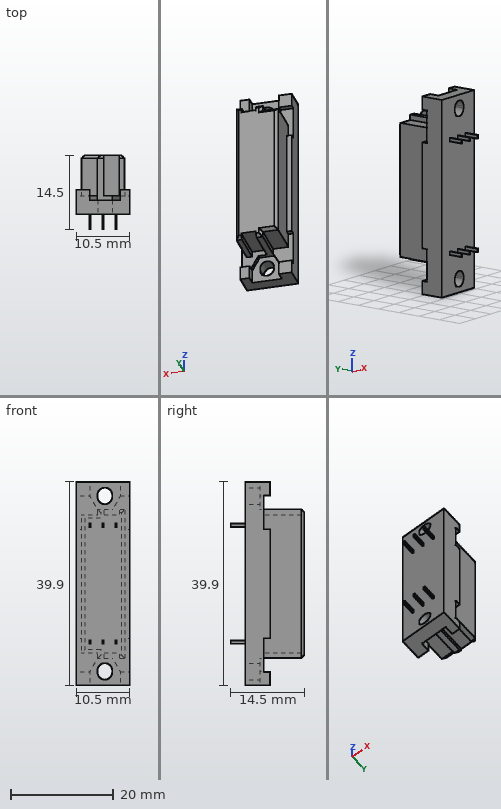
import cadquery as cq
import math

PLATE_WIDTH = 10.5
PLATE_HEIGHT = 39.9
PLATE_THICKNESS = 4.85

NOTCH_FLOOR_Y = 3.67
NOTCH_INNER_Z = 10.7
NOTCH_OUTER_Z = 17.28

HOLE_X = 0.35
HOLE_Z = 17.2
HOLE_HEIGHT = 3.2
HOLE_WIDTH = 2.85
NUT_ACROSS_CORNERS = 6.0
NUT_APOTHEM = NUT_ACROSS_CORNERS / 2 * math.cos(math.pi / 6)
NUT_FLOOR_Y = 2.85

PLUG_WIDTH = 8.5
PLUG_FRONT_Y = 11.6
PLUG_END_Z = HOLE_Z - NUT_APOTHEM
PLUG_SHOULDER_DROP = 1.08
PLUG_SHOULDER_X = -1.1
PLUG_CHAMFER = 0.65

KEYWAY_START_X = 0.15
KEYWAY_END_X = 3.15
KEYWAY_DEPTH = 1.08

OVERALL_DEPTH = 14.5
PIN_LENGTH = OVERALL_DEPTH - PLUG_FRONT_Y
PIN_WIDTH = 0.35
PIN_HEIGHT = 0.7
PIN_PITCH = 2.55
PIN_ROW_Z = 11.45
PIN_COLUMNS = (-1, 0, 1)

ENDS = (-1, 1)


def block(x_range, y_range, z_range):
    """Box spanning the given coordinate ranges; each range may run in either direction."""
    ranges = (x_range, y_range, z_range)
    size = [abs(end - start) for start, end in ranges]
    low = [min(limits) for limits in ranges]
    return cq.Workplane("XY").box(*size, centered=False).translate(tuple(low))


def make_plate():
    """Flat mounting plate with a notch near each end."""
    half_width = PLATE_WIDTH / 2
    half_height = PLATE_HEIGHT / 2
    across = (-half_width, half_width)
    plate = block(across, (0, PLATE_THICKNESS), (-half_height, half_height))
    for end in ENDS:
        notch_z = (end * NOTCH_INNER_Z, end * NOTCH_OUTER_Z)
        plate = plate.cut(block(across, (NOTCH_FLOOR_Y, PLATE_THICKNESS), notch_z))
    return plate


def make_screw_seat(end):
    """Through hole and nut pocket removed from one end of the plate."""
    centre = (HOLE_X, 0, end * HOLE_Z)
    plane = cq.Workplane("XZ", origin=centre)
    hole = plane.slot2D(HOLE_HEIGHT, HOLE_WIDTH, 90).extrude(-PLATE_THICKNESS)
    floor_plane = plane.workplane(offset=-NUT_FLOOR_Y)
    nut = floor_plane.polygon(6, NUT_ACROSS_CORNERS).extrude(NUT_FLOOR_Y - PLATE_THICKNESS)
    half_nut = NUT_ACROSS_CORNERS / 2
    sides = (HOLE_X - half_nut, HOLE_X + half_nut)
    mouth = block(sides, (NUT_FLOOR_Y, PLATE_THICKNESS), (end * HOLE_Z, end * PLATE_HEIGHT / 2))
    return hole.union(nut).union(mouth)


def make_plug():
    """Plug body, lower on its -X side at both ends, with a chamfered front rim and two keyways."""
    half_width = PLUG_WIDTH / 2
    shoulder_z = PLUG_END_Z - PLUG_SHOULDER_DROP
    outline = [
        (half_width, PLUG_END_Z),
        (PLUG_SHOULDER_X, PLUG_END_Z),
        (PLUG_SHOULDER_X, shoulder_z),
        (-half_width, shoulder_z),
        (-half_width, -shoulder_z),
        (PLUG_SHOULDER_X, -shoulder_z),
        (PLUG_SHOULDER_X, -PLUG_END_Z),
        (half_width, -PLUG_END_Z),
    ]
    base = cq.Workplane("XZ", origin=(0, NOTCH_FLOOR_Y, 0))
    plug = base.polyline(outline).close().extrude(NOTCH_FLOOR_Y - PLUG_FRONT_Y)
    plug = plug.faces(">Y").edges().chamfer(PLUG_CHAMFER)
    keyway_x = (KEYWAY_START_X, KEYWAY_END_X)
    for end in ENDS:
        keyway_z = (end * (PLUG_END_Z - KEYWAY_DEPTH), end * PLUG_END_Z)
        plug = plug.cut(block(keyway_x, (NOTCH_FLOOR_Y, PLUG_FRONT_Y), keyway_z))
    return plug


def make_pin(column, end):
    """Rectangular contact pin standing on the rear face."""
    x = column * PIN_PITCH
    pin_x = (x - PIN_WIDTH / 2, x + PIN_WIDTH / 2)
    z = end * PIN_ROW_Z
    pin_z = (z - PIN_HEIGHT / 2, z + PIN_HEIGHT / 2)
    return block(pin_x, (-PIN_LENGTH, 0), pin_z)


result = make_plate()
for end in ENDS:
    result = result.cut(make_screw_seat(end))
result = result.union(make_plug())
for end in ENDS:
    for column in PIN_COLUMNS:
        result = result.union(make_pin(column, end))